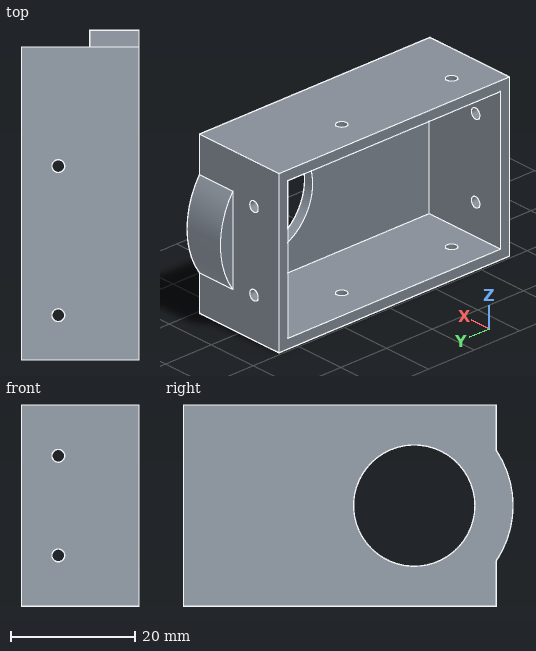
import cadquery as cq

total_length = 53.2
width = 19.0
height = 32.5
wall = 1.95
floor_thickness = 1.95

lobe_radius = 15.95
lobe_overhang = 2.7
lobe_thickness = 8.0
opening_diameter = 19.5

screw_diameter = 2.0
screw_depth = 5.95
end_hole_spacing = 16.05
side_hole_spacing = 24.05
first_side_hole = 7.25

box_length = total_length - lobe_overhang
lobe_y = total_length - lobe_radius
middle_z = height / 2


def cylinder_along_x(radius, start_x, length):
    """Cylinder on the lobe axis, running toward +X."""
    return (
        cq.Workplane("YZ", origin=(start_x, lobe_y, middle_z))
        .circle(radius)
        .extrude(length)
    )


outer_box = cq.Workplane("XY").box(width, box_length, height, centered=False)
lobe = cylinder_along_x(lobe_radius, width - lobe_thickness, lobe_thickness)
cavity = (
    cq.Workplane("XY", origin=(0, wall, wall))
    .box(width - floor_thickness, box_length - 2 * wall, height - 2 * wall, centered=False)
)
result = outer_box.union(lobe).cut(cavity)

result = result.cut(cylinder_along_x(opening_diameter / 2, 0, width))

for side in (-1, 1):
    hole_z = middle_z + side * end_hole_spacing / 2
    end_hole = (
        cq.Workplane("XZ", origin=(screw_depth, 0, hole_z))
        .circle(screw_diameter / 2)
        .extrude(-total_length)
    )
    result = result.cut(end_hole)

for hole_y in (first_side_hole, first_side_hole + side_hole_spacing):
    side_hole = (
        cq.Workplane("XY", origin=(screw_depth, hole_y, 0))
        .circle(screw_diameter / 2)
        .extrude(height)
    )
    result = result.cut(side_hole)